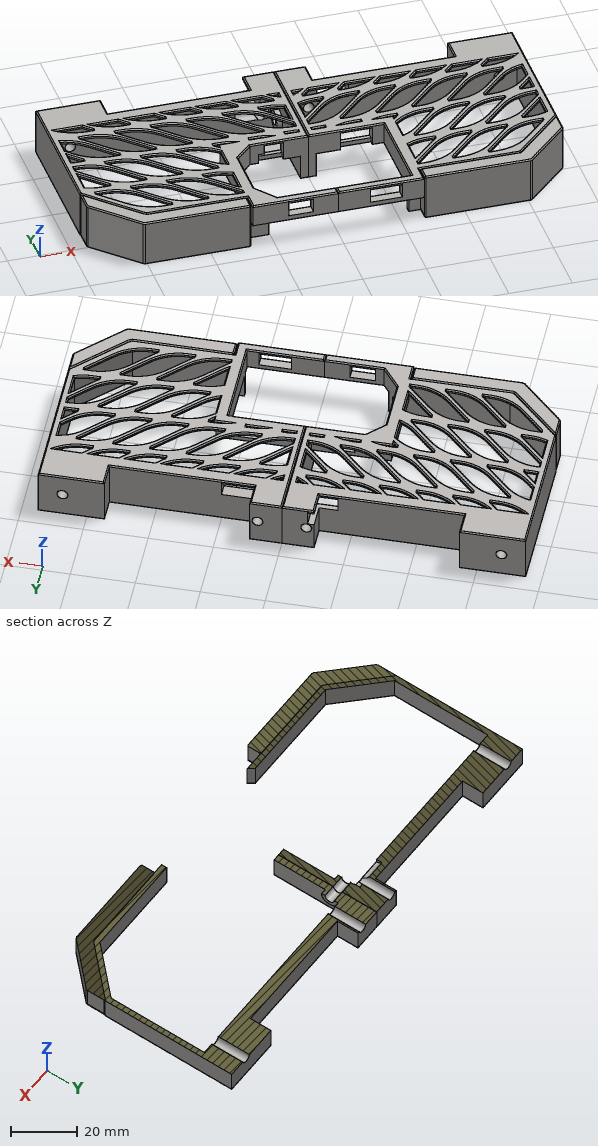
import cadquery as cq
import math

half_width = 75.0
depth = 68.6
height = 15.0
plate = 1.0
wall = 2.0
under_plate = height - plate
edge_chamfer = 0.4

rear_y = 61.0
rear_inner_y = 57.0
inner_tab_x = 9.9
outer_tab_x = 54.6

trim_front_y = 0.5
trim_width = 5.0
corner_cut = 14.0
bay_half = 27.3

frame_z = 8.0
frame_half = 27.0
window_half = 23.7
window_front_y = 3.0
window_rear_y = 32.0
bay_rear_y = 35.0
window_bevel_x = 5.3
window_bevel_rear = 5.3
window_bevel_front = 6.9

opening_z = 9.5
sill_y = 33.5
wide_opening = (10.1, 20.1)
narrow_opening = (7.9, 15.7)
lug_x = 13.9
lug_z = 11.1

joint_wall = 2.5
boss_d = 6.0
boss_end_x = 4.3
boss_y = 54.0
boss_z = height / 2

screw_d = 3.3
screw_inset = 7.5
screw_z = 7.75
channel_d = 4.7
channel_z = lug_z - channel_d / 2
channel_x = (4.5, 15.7)

leaf_width = 20.1
leaf_height = 12.2
leaf_tip = 0.4
leaf_radius = 15.0
leaf_pitch = 11.3
row_pitch = 15.05
first_leaf_x = 70.2
first_leaf_y = 20.7
grille_margin = 0.4
grille_front_y = 8.4
grille_inner_x = 2.3
grille_rows = 4
leaves_per_row = 11
smallest_hole = 0.6


def box(x, y, z):
    """Box spanning the (low, high) pairs x, y and z."""
    size = (x[1] - x[0], y[1] - y[0], z[1] - z[0])
    return cq.Workplane("XY").box(*size, centered=False).translate((x[0], y[0], z[0]))


def prism(points, low, high):
    """Vertical prism over a plan outline."""
    return cq.Workplane("XY").workplane(offset=low).polyline(points).close().extrude(high - low)


def cylinder_x(diameter, x, y, z):
    """Cylinder along X spanning the pair x."""
    circle = cq.Workplane("YZ", origin=(x[0], y, z)).circle(diameter / 2)
    return circle.extrude(x[1] - x[0])


def front_edge(offset, inner_x):
    """Front edge of the case moved inward by offset, from the bay to the side."""
    shift = offset * math.tan(math.radians(22.5))
    front_y = trim_front_y + offset
    side_x = half_width - offset
    return [
        (inner_x, front_y),
        (half_width - corner_cut - shift, front_y),
        (side_x, trim_front_y + corner_cut + shift),
    ]


def behind_trim(offset, side_x):
    """Front edge at an offset from the outside, its diagonal run out to side_x."""
    edge = front_edge(offset, bay_half)
    bend, end = edge[1], edge[2]
    return [edge[0], bend, (side_x, end[1] + side_x - end[0])]


def trim_strip():
    """Bent bar with all its edges chamfered."""
    outer = front_edge(0, bay_half)
    inner = behind_trim(trim_width, half_width)
    return prism(outer + inner[::-1], 0, height).edges().chamfer(edge_chamfer)


def leaf(corner_x, corner_y):
    """Leaf hole whose two sides each join a flat, an arc and a 45 degree line."""
    rise = leaf_radius * (1 - math.cos(math.radians(45)))
    run = leaf_radius * math.sin(math.radians(45))
    mid_rise = leaf_radius * (1 - math.cos(math.radians(22.5)))
    mid_run = leaf_radius * math.sin(math.radians(22.5))
    straight = leaf_height - leaf_tip - rise
    flat = leaf_width - run - straight
    left = corner_x - leaf_width
    bottom = corner_y - leaf_height
    return (
        cq.Workplane("XY", origin=(0, 0, under_plate))
        .moveTo(corner_x, corner_y)
        .lineTo(corner_x - flat, corner_y)
        .threePointArc(
            (corner_x - flat - mid_run, corner_y - mid_rise),
            (corner_x - flat - run, corner_y - rise),
        )
        .lineTo(left, bottom + leaf_tip)
        .lineTo(left, bottom)
        .lineTo(left + flat, bottom)
        .threePointArc(
            (left + flat + mid_run, bottom + mid_rise),
            (left + flat + run, bottom + rise),
        )
        .lineTo(corner_x, corner_y - leaf_tip)
        .close()
        .extrude(plate)
    )


def grille():
    """All leaf holes, trimmed to the plate between the walls."""
    side_x = half_width - wall - grille_margin
    rear = rear_inner_y - grille_margin
    bay_x = bay_half + grille_margin
    bay_y = bay_rear_y + grille_margin
    edge = behind_trim(trim_width + wall + grille_margin, side_x)
    area = prism(
        [(bay_x, grille_front_y), edge[1], edge[2], (side_x, rear),
         (grille_inner_x, rear), (grille_inner_x, bay_y), (bay_x, bay_y)],
        under_plate, height,
    )
    holes = []
    for row in range(grille_rows):
        row_x = first_leaf_x + row * row_pitch
        row_y = first_leaf_y + row * row_pitch
        for column in range(leaves_per_row):
            trimmed = area.intersect(leaf(row_x - column * leaf_pitch, row_y))
            holes += [hole for hole in trimmed.solids().vals() if hole.Volume() > smallest_hole]
    return holes


def panel_blank():
    """Plate with its outer walls, tabs, joint wall and bay frame."""
    edge = behind_trim(trim_width, half_width)
    rear_edge = [
        (half_width, depth), (outer_tab_x, depth), (outer_tab_x, rear_y),
        (inner_tab_x, rear_y), (inner_tab_x, depth), (0, depth),
    ]
    outline = edge + rear_edge + [(0, edge[0][1])]
    side_x = half_width - wall
    inner = behind_trim(trim_width + wall, side_x)
    cavity = prism(
        [(0, inner[0][1])] + inner[1:] + [(side_x, rear_inner_y), (0, rear_inner_y)],
        0, under_plate,
    )
    body = prism(outline, 0, height).cut(cavity)
    frame = box((0, frame_half), (0, bay_rear_y), (frame_z, height))
    joint = box((0, joint_wall), (window_rear_y, rear_inner_y), (0, height))
    boss = cylinder_x(boss_d, (0, boss_end_x), boss_y, boss_z)
    return body.union(frame).union(joint).union(boss)


def window(bevel):
    """Half of the window through the bay, with bevelled corners if asked."""
    if not bevel:
        return box((0, window_half), (window_front_y, window_rear_y), (0, height))
    bevel_x = window_half - window_bevel_x
    return prism(
        [(0, window_front_y), (bevel_x, window_front_y),
         (window_half, window_front_y + window_bevel_front),
         (window_half, window_rear_y - window_bevel_rear),
         (bevel_x, window_rear_y), (0, window_rear_y)],
        0, height,
    )


def panel(bevel, opening):
    """Right-hand panel, with its window style and opening span."""
    low_x = window_half - window_bevel_x if bevel else window_half
    low_front = box((0, low_x), (0, window_rear_y), (0, frame_z))
    body = panel_blank().cut(window(bevel)).cut(low_front)
    body = body.cut(box(opening, (0, window_front_y), (opening_z, under_plate)))
    body = body.cut(box(opening, (window_rear_y, bay_rear_y), (opening_z, under_plate)))
    body = body.cut(box(opening, (window_rear_y, sill_y), (frame_z, opening_z)))
    body = body.cut(box(opening, (rear_inner_y, depth), (opening_z, under_plate)))
    for x in (screw_inset, half_width - screw_inset):
        hole = cq.Workplane("XZ", origin=(x, depth, screw_z)).circle(screw_d / 2)
        body = body.cut(hole.extrude(depth - rear_inner_y))
    body = body.cut(cylinder_x(screw_d, (0, boss_end_x), boss_y, boss_z))
    for hole in grille():
        body = body.cut(cq.Workplane(hole))
    return body.faces(">Z").edges().chamfer(edge_chamfer)


def left_details(body):
    """Lug in the rear opening of the bay and round channel in the rear wall."""
    lug = box((lug_x, narrow_opening[1]), (window_rear_y, bay_rear_y), (lug_z, under_plate))
    channel = cylinder_x(channel_d, channel_x, rear_inner_y, channel_z)
    return body.union(lug).cut(channel)


right_panel = panel(False, wide_opening)
left_panel = left_details(panel(True, narrow_opening)).mirror("YZ")
right_trim = trim_strip()
left_trim = right_trim.mirror("YZ")

result = cq.Compound.makeCompound(
    [right_panel.val(), left_panel.val(), right_trim.val(), left_trim.val()]
)